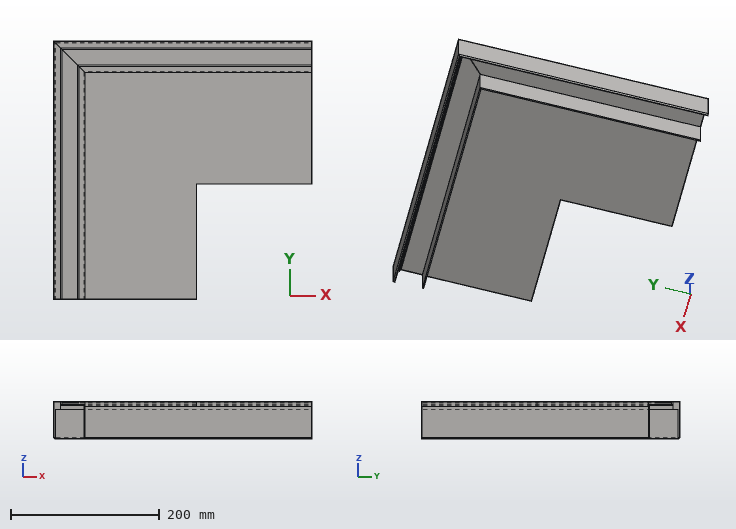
import cadquery as cq

SIDE = 347.5
HEIGHT = 50.0

PROFILE_WIDTH = 42.5
OUTER_WALL = 2.5
BOTTOM_CHAMFER = 1.7
RIM_WIDTH = 9.0
RIM_DEPTH = 10.8
DECK = 1.5
INNER_WALL = 1.7
DECK_DROP = 3.8
DECK_TOP = HEIGHT - DECK_DROP
INNER_WALL_BOTTOM = 2.0

GROOVE_WIDTH = 2.0
COVER_RECESS = 1.7
FLANGE_WIDTH = 8.5

PANEL_THICKNESS = 6.3
PANEL_ARM = 150.0

CHANNEL_PROFILE = [
    (BOTTOM_CHAMFER, 0),
    (OUTER_WALL, 0),
    (OUTER_WALL, HEIGHT - RIM_DEPTH),
    (RIM_WIDTH, HEIGHT - RIM_DEPTH),
    (RIM_WIDTH, DECK_TOP - DECK),
    (PROFILE_WIDTH - INNER_WALL, DECK_TOP - DECK),
    (PROFILE_WIDTH - INNER_WALL, INNER_WALL_BOTTOM),
    (PROFILE_WIDTH, INNER_WALL_BOTTOM),
    (PROFILE_WIDTH, DECK_TOP),
    (RIM_WIDTH, DECK_TOP),
    (RIM_WIDTH, HEIGHT),
    (0, HEIGHT),
    (0, BOTTOM_CHAMFER),
]

COVER_START = RIM_WIDTH + GROOVE_WIDTH
FLANGE_START = PROFILE_WIDTH - FLANGE_WIDTH
COVER_PROFILE = [
    (COVER_START, DECK_TOP),
    (PROFILE_WIDTH, DECK_TOP),
    (PROFILE_WIDTH, HEIGHT),
    (FLANGE_START, HEIGHT),
    (FLANGE_START - COVER_RECESS, HEIGHT - COVER_RECESS),
    (COVER_START, HEIGHT - COVER_RECESS),
]


def left_leg(profile):
    """Extrude an XZ profile along the left side and mitre its far end at 45 degrees."""
    bar = cq.Workplane("XZ").polyline(profile).close().extrude(-SIDE)
    mitre_waste = (
        cq.Workplane("XY")
        .polyline([(0, SIDE), (SIDE, SIDE), (SIDE, 0)])
        .close()
        .extrude(HEIGHT)
    )
    return bar.cut(mitre_waste)


def back_leg(profile):
    """Reflect the left leg across the mitre plane x + y = SIDE."""
    return (
        left_leg(profile)
        .mirror("YZ")
        .rotate((0, 0, 0), (0, 0, 1), 90)
        .translate((SIDE, SIDE, 0))
    )


def mitred_pair(profile):
    return [left_leg(profile).val(), back_leg(profile).val()]


def corner_panel():
    """L-shaped panel lying flush with the top, inside the two legs."""
    panel_back = SIDE - PROFILE_WIDTH
    notch_x = PROFILE_WIDTH + PANEL_ARM
    notch_y = panel_back - PANEL_ARM
    return (
        cq.Workplane("XY")
        .workplane(offset=HEIGHT - PANEL_THICKNESS)
        .polyline([
            (PROFILE_WIDTH, 0),
            (notch_x, 0),
            (notch_x, notch_y),
            (SIDE, notch_y),
            (SIDE, panel_back),
            (PROFILE_WIDTH, panel_back),
        ])
        .close()
        .extrude(PANEL_THICKNESS)
    )


channels = mitred_pair(CHANNEL_PROFILE)
covers = mitred_pair(COVER_PROFILE)
panel = corner_panel()

result = cq.Compound.makeCompound([*channels, *covers, panel.val()])